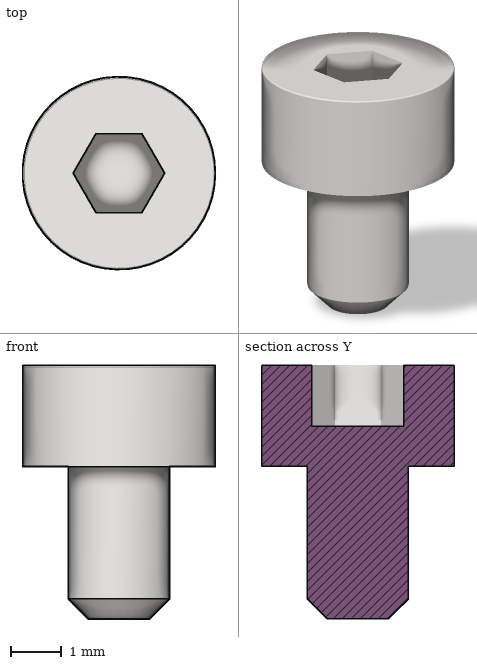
import cadquery as cq
import math

head_diameter = 3.8
head_height = 2.0
head_edge_radius = 0.03

shank_diameter = 2.0
shank_length = 3.0
tip_chamfer = 0.4

socket_sides = 6
socket_across_flats = 1.56
socket_depth = 1.2
socket_across_corners = socket_across_flats / math.cos(math.pi / socket_sides)


def make_head():
    """Cylindrical head with a slightly rounded top rim."""
    head = cq.Workplane("XY").circle(head_diameter / 2).extrude(head_height)
    return head.faces(">Z").edges().fillet(head_edge_radius)


def make_shank():
    """Plain shank below the head, ending in a conical tip."""
    shank = cq.Workplane("XY").circle(shank_diameter / 2).extrude(-shank_length)
    return shank.faces("<Z").edges().chamfer(tip_chamfer)


def make_socket():
    """Hexagonal drive socket, two corners on the X axis."""
    top_plane = cq.Workplane("XY").workplane(offset=head_height)
    return top_plane.polygon(socket_sides, socket_across_corners).extrude(-socket_depth)


result = make_head().union(make_shank()).cut(make_socket())